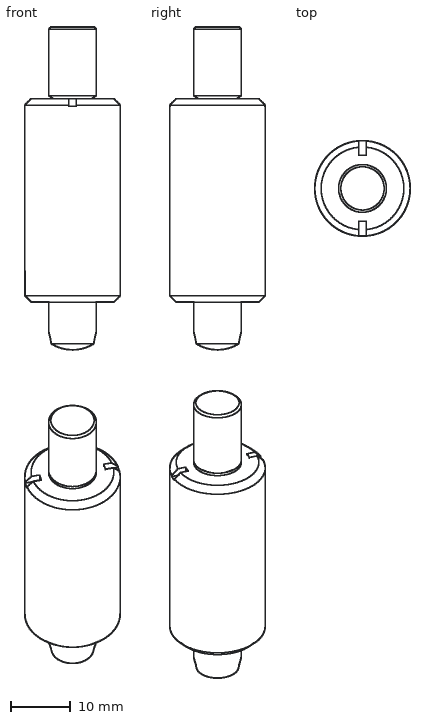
import cadquery as cq

total_length = 54.0
housing_bottom = 8.0
housing_top = 42.0

housing_diameter = 16.0
housing_chamfer = 1.1
slot_width = 1.2
slot_depth = 1.3
slot_inner_radius = 5.5

pin_diameter = 8.0
pin_radius = pin_diameter / 2
stud_chamfer = 0.4
neck_height = 0.5
neck_radius = 3.3
nose_start = 3.0
cap_height = 1.0
cap_radius = 3.55
flank_hollow = 0.025


def make_pin():
    """Pin through the housing: domed nose below, chamfered stud above."""
    flank_middle_radius = (pin_radius + cap_radius) / 2 - flank_hollow
    flank_middle_height = (nose_start + cap_height) / 2
    profile = (
        cq.Workplane("XZ")
        .moveTo(0, 0)
        .lineTo(0, total_length)
        .lineTo(pin_radius - stud_chamfer, total_length)
        .lineTo(pin_radius, total_length - stud_chamfer)
        .lineTo(pin_radius, housing_top + neck_height)
        .lineTo(neck_radius, housing_top)
        .lineTo(pin_radius, housing_top)
        .lineTo(pin_radius, nose_start)
        .threePointArc((flank_middle_radius, flank_middle_height), (cap_radius, cap_height))
    )
    sphere_radius = (cap_radius**2 + cap_height**2) / (2 * cap_height)
    middle_radius = cap_radius / 2
    middle_height = sphere_radius - (sphere_radius**2 - middle_radius**2) ** 0.5
    profile = profile.threePointArc((middle_radius, middle_height), (0, 0)).close()
    return profile.revolve(360, (0, 0, 0), (0, 1, 0))


def make_spanner_slot(side):
    """Cutter, twice the slot's length so it clears the rim, for the +Y (1) or -Y (-1) side."""
    slot_length = housing_diameter / 2 - slot_inner_radius
    slot_center = side * (slot_inner_radius + slot_length)
    return (
        cq.Workplane("XY", origin=(0, slot_center, housing_top - slot_depth))
        .rect(slot_width, 2 * slot_length)
        .extrude(slot_depth)
    )


def make_housing():
    """Chamfered sleeve with a through bore and two opposite spanner slots."""
    housing = (
        cq.Workplane("XY", origin=(0, 0, housing_bottom))
        .circle(housing_diameter / 2)
        .extrude(housing_top - housing_bottom)
        .edges()
        .chamfer(housing_chamfer)
    )
    bore = (
        cq.Workplane("XY", origin=(0, 0, housing_bottom))
        .circle(pin_radius)
        .extrude(housing_top - housing_bottom)
    )
    housing = housing.cut(bore)
    for side in (1, -1):
        housing = housing.cut(make_spanner_slot(side))
    return housing


housing = make_housing()
pin = make_pin()
result = cq.Compound.makeCompound([housing.val(), pin.val()])